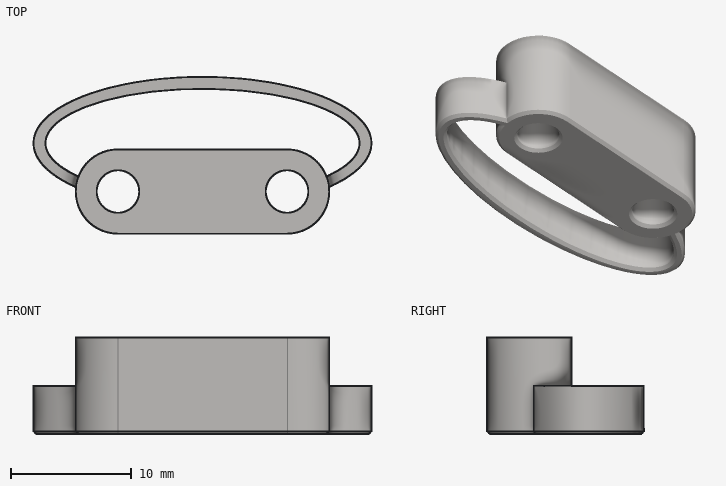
import cadquery as cq

body_width = 7.0
body_height = 8.0
hole_spacing = 14.0
hole_diameter = 3.5
loop_length = 28.0
loop_width = 11.0
loop_wall = 1.0
loop_height = body_height / 2
loop_offset = 4.0
bottom_chamfer = 0.25

body_length = hole_spacing + body_width


def elliptical_prism(length, width, height):
    """Upright prism on Z = 0 with an elliptical outline, centred on the loop."""
    return (
        cq.Workplane("XY")
        .center(0, loop_offset)
        .ellipse(length / 2, width / 2)
        .extrude(height)
    )


def make_body():
    """Upright block with full-round ends."""
    return cq.Workplane("XY").slot2D(body_length, body_width).extrude(body_height)


def make_loop():
    """Thin elliptical band; its near side is buried in the body."""
    inner_length = loop_length - 2 * loop_wall
    inner_width = loop_width - 2 * loop_wall
    outer = elliptical_prism(loop_length, loop_width, loop_height)
    inner = elliptical_prism(inner_length, inner_width, loop_height)
    return outer.cut(inner)


def make_holes():
    """Two through-holes, each concentric with a rounded end of the body."""
    return (
        cq.Workplane("XY")
        .pushPoints([(-hole_spacing / 2, 0), (hole_spacing / 2, 0)])
        .circle(hole_diameter / 2)
        .extrude(body_height)
    )


part = make_body().union(make_loop()).cut(make_holes())

result = part.faces("<Z").chamfer(bottom_chamfer)